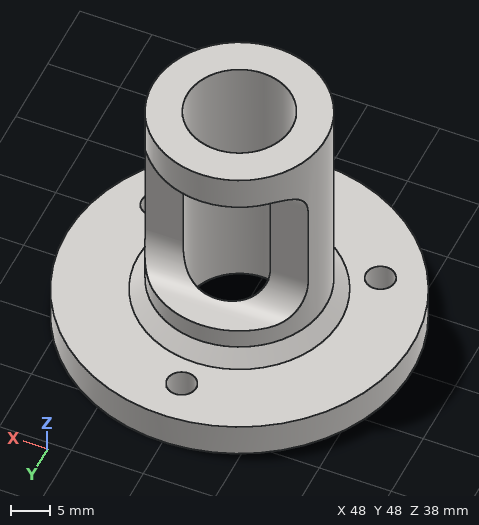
import cadquery as cq

flange_diameter = 48.0
flange_thickness = 5.0
bolt_hole_diameter = 4.0
bolt_circle_radius = 18.0
bolt_hole_count = 3
first_bolt_angle = 90

total_height = 38.0
tube_diameter = 24.0
bore_diameter = 14.5
collar_size = 2.0

window_bottom = 10.0
window_top = 33.0
window_inner_y = 4.0
window_corner_radius = 5.0


def revolved_body():
    """Flange, conical collar and bored tube turned about Z."""
    bore_radius = bore_diameter / 2
    flange_radius = flange_diameter / 2
    tube_radius = tube_diameter / 2
    profile = [
        (bore_radius, 0),
        (flange_radius, 0),
        (flange_radius, flange_thickness),
        (tube_radius + collar_size, flange_thickness),
        (tube_radius, flange_thickness + collar_size),
        (tube_radius, total_height),
        (bore_radius, total_height),
    ]
    return cq.Workplane("XZ").polyline(profile).close().revolve(360, (0, 0), (0, 1))


def bolt_holes():
    """Through-hole cutters evenly spaced around the flange."""
    return (
        cq.Workplane("XY")
        .polarArray(bolt_circle_radius, first_bolt_angle, 360, bolt_hole_count)
        .circle(bolt_hole_diameter / 2)
        .extrude(flange_thickness)
    )


def window():
    """Block open towards +Y, running through in X, with rounded inner corners."""
    return (
        cq.Workplane("XY")
        .box(
            tube_diameter,
            tube_diameter,
            window_top - window_bottom,
            centered=(True, False, False),
        )
        .edges("|X and <Y")
        .fillet(window_corner_radius)
        .translate((0, window_inner_y, window_bottom))
    )


result = revolved_body().cut(bolt_holes()).cut(window())